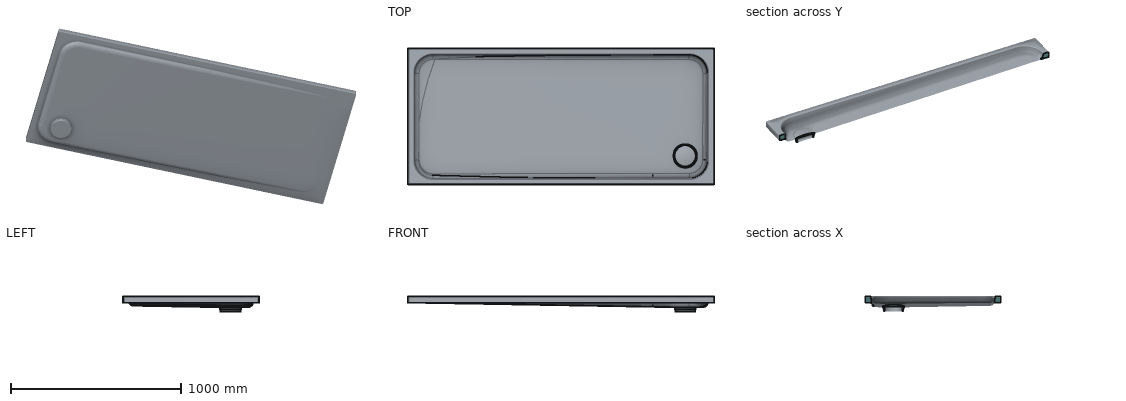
import cadquery as cq
import math

length = 1800
width = 800
total_height = 90.52
rim_height = 39
rim_corner_radius = 8
rim_edge_radius = 7

basin_length = 1722
basin_width = 728
basin_corner_radius = 110
basin_edge_radius = 5
wall_taper = 7
wall_fillet = 27
wall_trim = 1
shell_thickness = 5

drain_x = 728.5
drain_y = -231.5
floor_slope = 1
floor_depth = 61.5
floor_reach = 2000
floor_flat_radius = 72
floor_seam_angle = 208

flat_rise = floor_flat_radius * math.tan(math.radians(floor_slope))
drain_floor_depth = floor_depth - flat_rise
drain_underside_depth = drain_floor_depth + shell_thickness

recess_diameter = 138
recess_depth = 2.5
cover_bottom_depth = drain_floor_depth + recess_depth
cover_diameter = 128
cover_edge_height = 7
cover_dome_rise = 7

cup_diameter = 119
cup_bore = 100
cup_floor_thickness = 5
flange_diameter = 124
flange_bottom_depth = 76


def drain_cylinder(diameter, top_depth, bottom_depth):
    """Upright cylinder on the drain axis, between two depths below the rim."""
    return (
        cq.Workplane("XY", origin=(drain_x, drain_y, -bottom_depth))
        .circle(diameter / 2)
        .extrude(bottom_depth - top_depth)
    )


def space_above_floor(lowest_depth):
    """Solid whose underside is the floor cone, flattened around the drain."""
    slope = math.tan(math.radians(floor_slope))
    profile = [
        (0, floor_flat_radius * slope),
        (floor_flat_radius, floor_flat_radius * slope),
        (floor_reach, floor_reach * slope),
        (floor_reach, lowest_depth),
        (0, lowest_depth),
    ]
    return (
        cq.Workplane("XZ")
        .polyline(profile)
        .close()
        .revolve(360, (0, 0, 0), (0, 1, 0))
        .rotate((0, 0, 0), (0, 0, 1), floor_seam_angle)
        .translate((drain_x, drain_y, -lowest_depth))
    )


def basin(offset):
    """Basin volume, grown by the offset on its walls and floor."""
    depth = floor_depth + offset
    walls = (
        cq.Workplane("XY")
        .sketch()
        .rect(basin_length + 2 * offset, basin_width + 2 * offset)
        .vertices()
        .fillet(basin_corner_radius + offset)
        .finalize()
        .extrude(-(depth + wall_trim), taper=wall_taper)
    )
    basin_solid = walls.intersect(space_above_floor(depth))
    floor = max(basin_solid.faces("%CONE").vals(), key=lambda face: face.Area())
    floor_outline = [edge for edge in floor.Edges() if edge.geomType() not in ("LINE", "CIRCLE")]
    return basin_solid.newObject(floor_outline).fillet(wall_fillet + offset)


def make_tray():
    """Rim slab with the basin shell sunk through it and a stepped drain hole."""
    rim = (
        cq.Workplane("XY")
        .box(length, width, rim_height, centered=(True, True, False))
        .translate((0, 0, -rim_height))
        .edges("|Z")
        .fillet(rim_corner_radius)
        .faces(">Z")
        .edges()
        .fillet(rim_edge_radius)
    )
    tray = rim.union(basin(shell_thickness)).cut(basin(0))
    opening = tray.faces(">Z").val().innerWires()[0]
    tray = tray.newObject(opening.Edges()).fillet(basin_edge_radius)
    recess = drain_cylinder(recess_diameter, 0, cover_bottom_depth)
    outlet = drain_cylinder(cup_bore, 0, total_height)
    return tray.cut(recess).cut(outlet)


def make_cover():
    """Domed disc standing slightly proud of the floor."""
    radius = cover_diameter / 2
    dome_radius = (radius**2 + cover_dome_rise**2) / (2 * cover_dome_rise)
    crown = -cover_bottom_depth + cover_edge_height + cover_dome_rise
    dome = cq.Workplane("XY", origin=(drain_x, drain_y, crown - dome_radius)).sphere(dome_radius)
    return drain_cylinder(cover_diameter, 0, cover_bottom_depth).intersect(dome)


def make_cup():
    """Open-topped cup with a flange that seats against the tray's underside."""
    cup = drain_cylinder(cup_diameter, drain_underside_depth, total_height)
    flange = drain_cylinder(flange_diameter, drain_underside_depth, flange_bottom_depth)
    bore = drain_cylinder(cup_bore, 0, total_height - cup_floor_thickness)
    return cup.union(flange).cut(bore)


tray = make_tray()
cover = make_cover()
cup = make_cup()

result = cq.Compound.makeCompound([tray.val(), cover.val(), cup.val()])